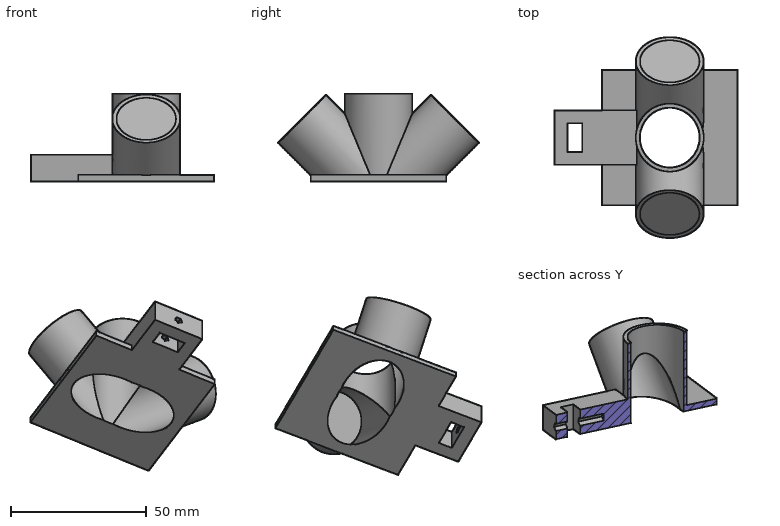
import cadquery as cq
import math

overall_width = 74.15
overall_height = 32.5

plate_side = 50.0
plate_thickness = 2.5

tube_radius = 12.5
tube_wall = 1.55
bore_radius = tube_radius - tube_wall
lean_angle = 45.0
lean_origin_z = -5.0
end_cap_thickness = 0.15

lean = math.radians(lean_angle)
lean_length = (overall_width / 2 - tube_radius * math.cos(lean)) / math.sin(lean)

block_end_x = -42.5
block_inner_x = -12.1
block_length = block_inner_x - block_end_x
block_width = 20.0
block_height = 10.0
slot_length_x = 5.3
slot_width_y = 10.5
slot_end_gap = 4.9
screw_hole_radius = 1.5
screw_hole_sides = 5
screw_hole_depth = 20.0


def leaning_cylinder(radius, length, side):
    """Cylinder from the common origin, leaning toward +Y (side 1) or -Y (side -1)."""
    return (
        cq.Workplane("XY")
        .circle(radius)
        .extrude(length)
        .rotate((0, 0, 0), (1, 0, 0), -side * lean_angle)
        .translate((0, 0, lean_origin_z))
    )


def upright_cylinder(radius):
    return cq.Workplane("XY").circle(radius).extrude(overall_height)


def base_plate():
    return cq.Workplane("XY").rect(plate_side, plate_side).extrude(plate_thickness)


def side_block():
    """Block reaching out along -X, with a vertical slot crossed by a blind hole."""
    block = (
        cq.Workplane("XY")
        .box(block_length, block_width, block_height, centered=(False, True, False))
        .translate((block_end_x, 0, 0))
    )
    slot = (
        cq.Workplane("XY")
        .box(slot_length_x, slot_width_y, block_height, centered=(False, True, False))
        .translate((block_end_x + slot_end_gap, 0, 0))
    )
    corners = []
    for i in range(screw_hole_sides):
        angle = 2 * math.pi * i / screw_hole_sides - math.pi / 2
        corner_z = block_height / 2 + screw_hole_radius * math.sin(angle)
        corners.append((screw_hole_radius * math.cos(angle), corner_z))
    screw_hole = (
        cq.Workplane("YZ", origin=(block_end_x, 0, 0))
        .polyline(corners)
        .close()
        .extrude(screw_hole_depth)
    )
    return block.cut(slot).cut(screw_hole)


body = base_plate().union(upright_cylinder(tube_radius)).union(side_block())
for side in (1, -1):
    body = body.union(leaning_cylinder(tube_radius, lean_length, side))

body = body.cut(upright_cylinder(bore_radius))
for side in (1, -1):
    body = body.cut(leaning_cylinder(bore_radius, lean_length - end_cap_thickness, side))

below_plate = cq.Workplane("XY").rect(overall_width, overall_width).extrude(-overall_height)
result = body.cut(below_plate)